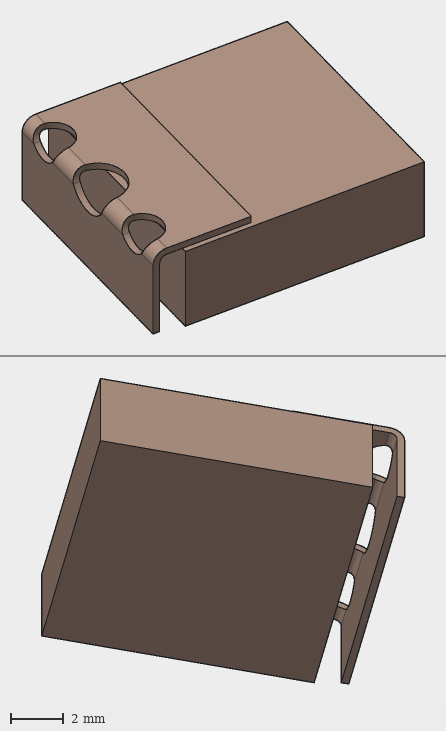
import cadquery as cq
import math

total_width = 10.0
total_length = 11.85
total_height = 3.9

sheet = 0.3
clip_width = 9.55
clip_reach = 4.34
bend_outer = 0.6
bend_inner = bend_outer - sheet
bend_neutral = (bend_inner + bend_outer) / 2
bend_length = bend_neutral * math.pi / 2

front_gap = 1.0
block_front = sheet + front_gap
block_length = total_length - block_front
block_height = total_height - sheet

centre_hole_radius = 1.17
side_hole_radius = 0.88
side_hole_offset = 3.25
hole_past_bend_start = 0.15
bend_sections = 7
cutter_margin = 0.12

bend_y = bend_outer
bend_z = total_height - bend_outer


def make_block():
    return cq.Workplane("XY").box(
        total_width, block_length, block_height, centered=(True, False, False)
    ).translate((0, block_front, 0))


def make_clip():
    outer_mid = bend_outer * math.sqrt(0.5)
    inner_mid = bend_inner * math.sqrt(0.5)
    return (
        cq.Workplane("YZ")
        .moveTo(0, 0)
        .lineTo(0, bend_z)
        .threePointArc((bend_y - outer_mid, bend_z + outer_mid), (bend_y, total_height))
        .lineTo(clip_reach, total_height)
        .lineTo(clip_reach, block_height)
        .lineTo(bend_y, block_height)
        .threePointArc((bend_y - inner_mid, bend_z + inner_mid), (sheet, bend_z))
        .lineTo(sheet, 0)
        .close()
        .extrude(clip_width / 2, both=True)
    )


def top_hole_cutter(x, radius):
    """Part of the hole in the flat top, behind the bend."""
    depth = sheet + 2 * cutter_margin
    bottom = block_height - cutter_margin
    disc = (
        cq.Workplane("XY", origin=(x, bend_y - hole_past_bend_start, bottom))
        .circle(radius)
        .extrude(depth)
    )
    keep = (
        cq.Workplane("XY", origin=(x, bend_y, bottom))
        .box(2 * radius, 2 * radius, depth, centered=(True, False, False))
    )
    return disc.intersect(keep)


def flange_hole_cutter(x, radius):
    """Part of the hole in the front flange, below the bend."""
    depth = sheet + 2 * cutter_margin
    centre_z = bend_z + bend_length - hole_past_bend_start
    disc = (
        cq.Workplane("XZ", origin=(x, sheet + cutter_margin, centre_z))
        .circle(radius)
        .extrude(depth)
    )
    keep = (
        cq.Workplane("XY", origin=(x, -cutter_margin, bend_z - 2 * radius))
        .box(2 * radius, depth, 2 * radius, centered=(True, False, False))
    )
    return disc.intersect(keep)


def bend_hole_cutter(x, radius):
    """Part of the hole in the bend: radial rectangles as wide as the unrolled circle."""
    near = bend_inner - cutter_margin
    far = bend_outer + cutter_margin
    sections = []
    for i in range(bend_sections):
        angle = math.pi / 2 * i / (bend_sections - 1)
        along = bend_neutral * angle - hole_past_bend_start
        half_width = math.sqrt(radius**2 - along**2)
        corners = [(-half_width, near), (half_width, near), (half_width, far), (-half_width, far)]
        points = [
            cq.Vector(x + side, bend_y - r * math.sin(angle), bend_z + r * math.cos(angle))
            for side, r in corners
        ]
        sections.append(cq.Wire.makePolygon(points, close=True))
    return cq.Workplane(obj=cq.Solid.makeLoft(sections))


clip = make_clip()
for hole_x, hole_radius in [
    (-side_hole_offset, side_hole_radius),
    (0, centre_hole_radius),
    (side_hole_offset, side_hole_radius),
]:
    clip = clip.cut(top_hole_cutter(hole_x, hole_radius))
    clip = clip.cut(flange_hole_cutter(hole_x, hole_radius))
    clip = clip.cut(bend_hole_cutter(hole_x, hole_radius))

result = make_block().union(clip)